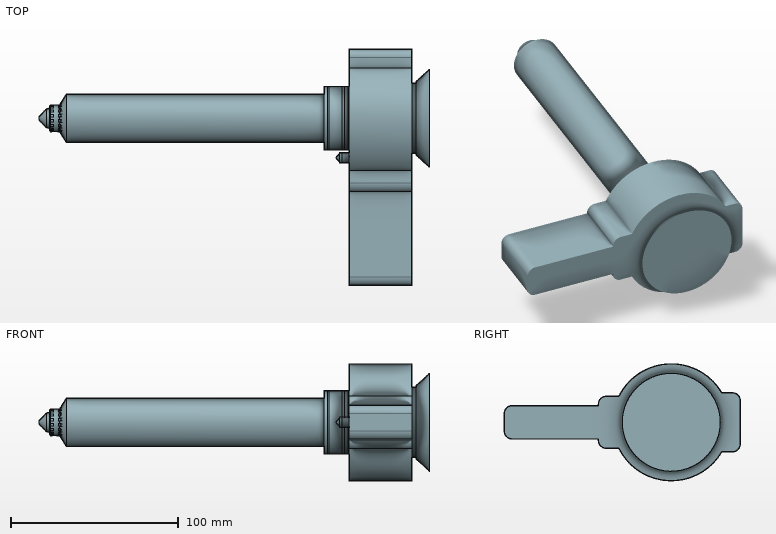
import cadquery as cq
TOTAL_LENGTH = 233.0
HANDLE_FRONT = 185.0
HANDLE_BACK = 222.5
HANDLE_WIDTH = HANDLE_BACK - HANDLE_FRONT
COLLAR_FRONT = 170.0
SHAFT_SHOULDER = 16.3
NOSE_END = 12.3

HUB_DIA = 70.0
TAIL_REACH = 41.2
TAIL_HALF_HEIGHT = 17.7
STEP_REACH = 43.5
STEP_HALF_HEIGHT = 15.5
LEVER_REACH = 99.7
LEVER_HALF_HEIGHT = 10.0
CORNER_RADIUS = 5.0

COLLAR_DIA = 38.0
CORE_DIA = 46.0
NECK_DIA = 42.0
NECK_LENGTH = 2.5
FLARE_DIA = 58.5
FLARE_START_DIA = 44.0

RING_FLOOR_DIA = 36.0
RINGS = [(172.2, 0.7), (180.8, 1.5), (184.3, 0.7)]

SHAFT_DIA = 29.0
NOSE_DIA = 16.0
NOSE_FRONT = 6.3
NOSE_CHAMFER = 0.7
POINT_DIA = 12.0
POINT_FLAT_DIA = 2.0
POINT_CONE_DIA = 11.2
POINT_SHOULDER = 4.5
SLOT_COUNT = 16
SLOT_WIDTH = 1.5
SLOT_FLOOR_DIA = 15.5
FRONT_SLOT_END = 8.6
REAR_SLOT_START = 11.6
REAR_SLOT_DIA = 18.2

PIN_OFFSET = 23.5
PIN_DIA = 6.0
PIN_CONE_DIA = 5.0
PIN_FRONT = 179.2
PIN_TIP_END = 180.8
PIN_CONE_LENGTH = 2.0
PIN_DEPTH = 6.0


def turned(points):
    """Revolve an (x, radius) outline about the X axis."""
    return cq.Workplane("XY").polyline(points).close().revolve(360, (0, 0, 0), (1, 0, 0))


def cylinder(start, end, diameter, y=0.0):
    """Cylinder along X between two positions."""
    return cq.Workplane("YZ", origin=(start, y, 0)).circle(diameter / 2).extrude(end - start)


def handle_block(y_start, y_end, half_height):
    """Rectangular block of the handle, as wide as the hub."""
    block = cq.Workplane("XY").box(HANDLE_WIDTH, abs(y_end - y_start), 2 * half_height)
    return block.translate((HANDLE_FRONT + HANDLE_WIDTH / 2, (y_start + y_end) / 2, 0))


def pin_hole():
    """Blind hole for the index pin, shared by the handle and the bushing."""
    return cylinder(HANDLE_FRONT, HANDLE_FRONT + PIN_DEPTH, PIN_DIA, -PIN_OFFSET)


def make_handle():
    tail = handle_block(0, TAIL_REACH, TAIL_HALF_HEIGHT).edges("|X and >Y").fillet(CORNER_RADIUS)
    step = handle_block(-STEP_REACH, 0, STEP_HALF_HEIGHT).edges("|X and <Y").fillet(CORNER_RADIUS)
    lever = handle_block(-LEVER_REACH, 0, LEVER_HALF_HEIGHT).edges("|X and <Y").fillet(CORNER_RADIUS)
    hub = cylinder(HANDLE_FRONT, HANDLE_BACK, HUB_DIA)
    bore = cylinder(HANDLE_FRONT, HANDLE_BACK, CORE_DIA)
    return hub.union(tail).union(step).union(lever).cut(bore).cut(pin_hole())


def make_ring(front, width):
    outer = cylinder(front, front + width, COLLAR_DIA)
    return outer.cut(cylinder(front, front + width, RING_FLOOR_DIA))


def make_bushing():
    flare_start = HANDLE_BACK + NECK_LENGTH
    body = turned([
        (COLLAR_FRONT, 0),
        (COLLAR_FRONT, COLLAR_DIA / 2),
        (HANDLE_FRONT, COLLAR_DIA / 2),
        (HANDLE_FRONT, CORE_DIA / 2),
        (HANDLE_BACK, CORE_DIA / 2),
        (HANDLE_BACK, NECK_DIA / 2),
        (flare_start, NECK_DIA / 2),
        (flare_start, FLARE_START_DIA / 2),
        (TOTAL_LENGTH, FLARE_DIA / 2),
        (TOTAL_LENGTH, 0),
    ])
    body = body.cut(cylinder(COLLAR_FRONT, HANDLE_BACK, SHAFT_DIA)).cut(pin_hole())
    for front, width in RINGS:
        body = body.cut(make_ring(front, width))
    return body


def slots(start, end, outer_dia):
    """Radial slots spaced evenly round the nose."""
    depth = (outer_dia - SLOT_FLOOR_DIA) / 2
    cutter = cq.Workplane("XY").box(end - start, SLOT_WIDTH, depth)
    cutter = cutter.translate(((start + end) / 2, 0, (SLOT_FLOOR_DIA + depth) / 2))
    cutters = cq.Workplane("XY")
    for i in range(SLOT_COUNT):
        angle = (i + 0.5) * 360 / SLOT_COUNT
        cutters = cutters.add(cutter.rotate((0, 0, 0), (1, 0, 0), angle))
    return cutters.combine()


def make_shaft():
    body = turned([
        (0, 0),
        (0, POINT_FLAT_DIA / 2),
        (POINT_SHOULDER, POINT_CONE_DIA / 2),
        (NOSE_FRONT, POINT_DIA / 2),
        (NOSE_FRONT, NOSE_DIA / 2 - NOSE_CHAMFER),
        (NOSE_FRONT + NOSE_CHAMFER, NOSE_DIA / 2),
        (NOSE_END, NOSE_DIA / 2),
        (SHAFT_SHOULDER, SHAFT_DIA / 2),
        (HANDLE_BACK, SHAFT_DIA / 2),
        (HANDLE_BACK, 0),
    ])
    body = body.cut(slots(NOSE_FRONT, FRONT_SLOT_END, NOSE_DIA))
    return body.cut(slots(REAR_SLOT_START, SHAFT_SHOULDER, REAR_SLOT_DIA))


def make_pin_tip():
    tip = turned([
        (PIN_FRONT - PIN_CONE_LENGTH, 0),
        (PIN_FRONT, PIN_CONE_DIA / 2),
        (PIN_FRONT, PIN_DIA / 2),
        (PIN_TIP_END, PIN_DIA / 2),
        (PIN_TIP_END, 0),
    ])
    return tip.translate((0, -PIN_OFFSET, 0))


def make_pin():
    return cylinder(PIN_TIP_END, HANDLE_FRONT + PIN_DEPTH, PIN_DIA, -PIN_OFFSET)


rings = [make_ring(front, width).val() for front, width in RINGS]
result = cq.Compound.makeCompound([
    make_handle().val(),
    make_bushing().val(),
    make_shaft().val(),
    make_pin().val(),
    make_pin_tip().val(),
    *rings,
])